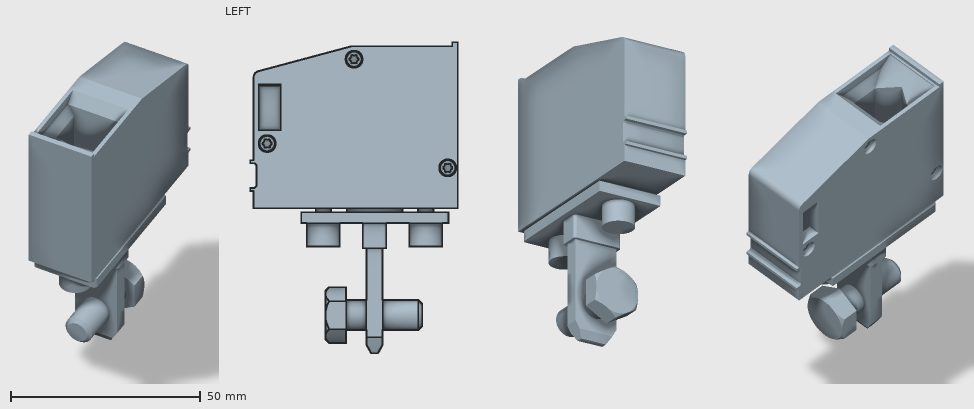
import cadquery as cq
import math


width = 18.8
housing_bottom = 38.3
housing_top = 81.1
housing_back = 54.0
lip_top = 82.2
lip_thickness = 1.6
slope_start = 28.1
slope_angle = math.radians(15)
back_corner_radius = 1.8

catch_back = 54.9
catch_top = 51.05
catch_bottom = 42.8
rib_thickness = 0.9
notch_floor = 53.3
notch_corner = 0.4

rim_half_width = 8.3
rim_front = 2.2
rim_back = 22.6
rim_depth = 2.9
funnel_side_drop = 3.3
front_slope_run = 4.3
front_slope_start = 5.5
shaft_half_width = 6.4
shaft_floor = 62.5
shaft_point = 6.25

window_front = 46.8
window_back = 52.6
window_bottom = 58.85
window_top = 71.0
window_depth = 3.3
window_roof_drop = 0.4

screw_places = [(27.45, 77.7), (50.4, 55.4), (2.7, 49.0)]
screw_hole_diameter = 4.5
screw_hole_depth = 2.0
screw_head_diameter = 4.0
screw_head_height = 0.25
socket_diameter = 2.0
socket_depth = 0.8
socket_lobe_count = 6
socket_tip_diameter = 2.5
socket_lobe_radius = 0.3

plate_bottom = 34.4
plate_top = 37.3
plate_front = 2.5
plate_back = 41.4
plate_corner_radius = 1.0
axis_y = 22.0
collar_diameter = 14.8
cap_screw_spacing = 27.05
cap_screw_shank_diameter = 4.1
cap_screw_head_diameter = 8.8
cap_screw_head_height = 6.2

blade_width = 12.6
blade_thickness = 4.3
holder_margin = 1.0
holder_corner_radius = 0.9
holder_height = 6.65
tip_width = 7.65
tip_width_height = 4.3
tip_thickness = 1.8
tip_thickness_height = 2.2

bolt_z = 10.1
bolt_diameter = 8.0
bolt_front = 9.4
bolt_end_chamfer = 1.1
head_seat = 29.5
head_back = 35.0
head_across_flats = 12.8


def box(x_range, y_range, z_range):
    """Box between the given coordinate pairs."""
    size = [high - low for low, high in (x_range, y_range, z_range)]
    return cq.Workplane().box(*size, centered=False).translate((x_range[0], y_range[0], z_range[0]))


def post(diameter, y, bottom, top):
    """Upright cylinder on the plane X = 0."""
    return cq.Workplane(origin=(0, y, bottom)).circle(diameter / 2).extrude(top - bottom)


def side_prism(points):
    """Full-width prism with a (Y, Z) outline."""
    return cq.Workplane("YZ").polyline(points).close().extrude(width / 2, both=True)


def housing_block():
    back_edge_top = housing_top - (housing_back - slope_start) * math.tan(slope_angle)
    body = side_prism([
        (0, housing_bottom),
        (0, lip_top),
        (lip_thickness, lip_top),
        (lip_thickness, housing_top),
        (slope_start, housing_top),
        (housing_back, back_edge_top),
        (housing_back, housing_bottom),
    ])
    corner = cq.selectors.NearestToPointSelector((0, housing_back, back_edge_top))
    body = body.edges("|X").edges(corner).fillet(back_corner_radius)

    half_width = width / 2
    ribs = box((-half_width, half_width), (notch_floor, catch_back), (catch_bottom, catch_top))
    notch = box(
        (-half_width, half_width),
        (notch_floor, catch_back),
        (catch_bottom + rib_thickness, catch_top - rib_thickness),
    )
    notch = notch.edges("|X and <Y").chamfer(notch_corner)
    return body.union(ribs).cut(notch)


def funnel():
    """Tapered cable entry that leads into a shaft with a pointed front."""
    rim_bottom = housing_top - rim_depth
    funnel_bottom = rim_bottom - funnel_side_drop
    shaft_back = rim_back - rim_depth
    front_slope_end = front_slope_start + front_slope_run
    front_gradient = funnel_side_drop / front_slope_run
    front_slope_top = rim_bottom + (front_slope_start - rim_front) * front_gradient

    lengthwise = side_prism([
        (rim_front, lip_top),
        (rim_front, front_slope_top),
        (front_slope_end, funnel_bottom),
        (shaft_back, funnel_bottom),
        (shaft_back, rim_bottom),
        (rim_back, housing_top),
        (rim_back, lip_top),
    ])
    crosswise = (
        cq.Workplane("XZ")
        .polyline([
            (-rim_half_width, lip_top),
            (-rim_half_width, rim_bottom),
            (-shaft_half_width, funnel_bottom),
            (shaft_half_width, funnel_bottom),
            (rim_half_width, rim_bottom),
            (rim_half_width, lip_top),
        ])
        .close()
        .extrude(-housing_back)
    )
    shaft = (
        cq.Workplane(origin=(0, 0, shaft_floor))
        .polyline([
            (-shaft_half_width, shaft_back),
            (-shaft_half_width, front_slope_end),
            (0, shaft_point),
            (shaft_half_width, front_slope_end),
            (shaft_half_width, shaft_back),
        ])
        .close()
        .extrude(rim_bottom - shaft_floor)
    )
    return lengthwise.intersect(crosswise).union(shaft)


def window():
    """Side pocket whose roof slopes down towards its floor."""
    outer_x = -width / 2
    inner_x = outer_x + window_depth
    return (
        cq.Workplane("XZ", origin=(0, window_front, 0))
        .polyline([
            (outer_x, window_bottom),
            (inner_x, window_bottom),
            (inner_x, window_top - window_roof_drop),
            (outer_x, window_top),
        ])
        .close()
        .extrude(window_front - window_back)
    )


def add_screw(body, place):
    """Sunk screw hole with a star-socket screw head at its bottom."""
    def disc(diameter, start, depth):
        plane = cq.Workplane("YZ", origin=(start, *place))
        return plane.circle(diameter / 2).extrude(depth)

    seat_x = -width / 2 + screw_hole_depth
    head_x = seat_x - screw_head_height
    hole = disc(screw_hole_diameter, -width / 2, screw_hole_depth)
    head = disc(screw_head_diameter, head_x, screw_head_height)
    socket = disc(socket_diameter, head_x, socket_depth)
    lobes = (
        cq.Workplane("YZ", origin=(head_x, *place))
        .polarArray(socket_tip_diameter / 2 - socket_lobe_radius, 0, 360, socket_lobe_count)
        .circle(socket_lobe_radius)
        .extrude(socket_depth)
    )
    return body.cut(hole).union(head).cut(socket.union(lobes))


def flange():
    """Plate under the housing with a centre collar and two cap screws."""
    plate = box((-width / 2, width / 2), (plate_front, plate_back), (plate_bottom, plate_top))
    plate = plate.edges("|Z and <Y").fillet(plate_corner_radius)
    plate = plate.union(post(collar_diameter, axis_y, plate_top, housing_bottom))
    for side in (-1, 1):
        y = axis_y + side * cap_screw_spacing / 2
        head_bottom = plate_bottom - cap_screw_head_height
        plate = plate.union(post(cap_screw_shank_diameter, y, plate_top, housing_bottom))
        plate = plate.union(post(cap_screw_head_diameter, y, head_bottom, plate_bottom))
    return plate


def tapered_outline(plane, full, tip, tip_height):
    """Upright prism whose outline narrows to the tip at Z = 0."""
    return (
        plane
        .polyline([
            (-tip / 2, 0),
            (tip / 2, 0),
            (full / 2, tip_height),
            (full / 2, plate_bottom),
            (-full / 2, plate_bottom),
            (-full / 2, tip_height),
        ])
        .close()
        .extrude(width / 2, both=True)
    )


def blade():
    centre = (0, axis_y, 0)
    broad_side = tapered_outline(
        cq.Workplane("XZ", origin=centre), blade_width, tip_width, tip_width_height
    )
    narrow_side = tapered_outline(
        cq.Workplane("YZ", origin=centre), blade_thickness, tip_thickness, tip_thickness_height
    )
    holder = (
        cq.Workplane(origin=(0, axis_y, plate_bottom))
        .rect(blade_width + 2 * holder_margin, blade_thickness + 2 * holder_margin)
        .extrude(-holder_height)
        .edges("|Z")
        .fillet(holder_corner_radius)
    )
    return broad_side.intersect(narrow_side).union(holder)


def bolt():
    """Hexagon bolt along Y with two head corners pointing up and down."""
    def along_y(y):
        return cq.Workplane("XZ", origin=(0, y, bolt_z))

    head_length = head_back - head_seat
    across_corners = head_across_flats / math.cos(math.pi / 6)
    shank = along_y(head_seat).circle(bolt_diameter / 2).extrude(head_seat - bolt_front)
    shank = shank.faces("<Y").chamfer(bolt_end_chamfer)
    head = (
        along_y(head_seat)
        .transformed(rotate=(0, 0, 90))
        .polygon(6, across_corners)
        .extrude(-head_length)
    )
    corner_bevel = (across_corners - head_across_flats) / 2
    bevelled_round = (
        along_y(head_seat)
        .circle(across_corners / 2)
        .extrude(-head_length)
        .faces(">Y")
        .chamfer(corner_bevel)
    )
    return shank.union(head.intersect(bevelled_round))


housing = housing_block().cut(funnel()).cut(window())
for screw_place in screw_places:
    housing = add_screw(housing, screw_place)

result = housing.union(flange()).union(blade()).union(bolt())